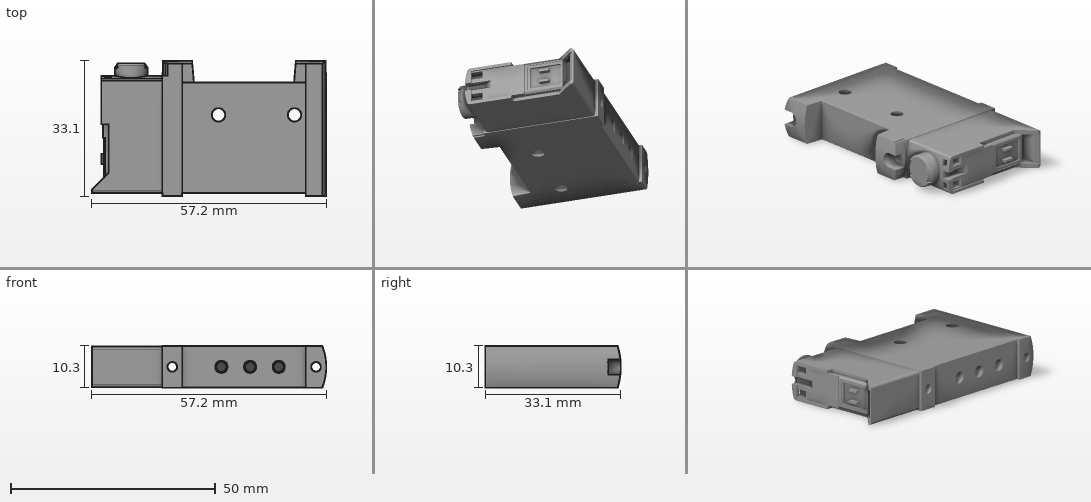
import cadquery as cq


LENGTH = 40.01
PLATE_HEIGHT = 10.25
LEFT_PLATE_WIDTH = 4.85
RIGHT_PLATE_WIDTH = 5.04
PLATE_SHOULDER_Y = 32.3
PLATE_REAR_Y = 33.1
PLATE_HOLE_DIA = 2.3
SCREW_SLOT_WIDTH = 3.8
SCREW_SLOT_FLOOR_Y = 30.0
RIGHT_NOSE_DEPTH = 1.0
LEFT_NOSE_DEPTH = 0.8
NOSE_SHELF_X = 1.28
NOSE_HEIGHT = 9.6
TAB_REACH_ROOT = 2.87
TAB_REACH_TIP = 2.42
TAB_HEIGHT = 10.22

BODY_HEIGHT = TAB_HEIGHT
BODY_FRONT_Y = 0.74
BODY_REAR_Y = 27.75
BODY_EDGE_CHAMFER = 0.1
MOUNT_HOLE_DIA = 3.2
MOUNT_HOLE_X = (13.7, 32.24)
MOUNT_HOLE_Y = 19.85
PORT_X = 21.4
PORT_PITCH = 7.0
PORT_DIA = 2.46
PORT_MOUTH_DIA = 3.0
PORT_DEPTH = 5.0

CAP_HEIGHT = 9.95
CAP_FRONT_RADIUS = 0.72
CAP_TIP_X = -17.2
CAP_TIP_SIDE_Y = 1.6
CAP_LEFT_X = -14.92
CAP_NOTCH_X = -13.05
CAP_NOTCH_REAR_Y = 17.5
CAP_NOTCH_FRONT_Y = CAP_TIP_SIDE_Y + CAP_NOTCH_X - CAP_TIP_X
CAP_REAR_Y = 29.4
CAP_REAR_SHOULDER_Y = 28.7
CAP_REAR_CHAMFER_Y = 28.15
CAP_REAR_CHAMFER_Z = 0.35

MOUTH_HEIGHT = 8.44
MOUTH_REAR_Y = 27.8
INSERT_X = -14.53
INSERT_HEIGHT = 8.14
LATCH_SLOT_HEIGHT = 2.0
LATCH_SLOT_X = -12.95
LATCH_SLOT_FRONT_Y = 22.75
LATCH_SLOT_FLOOR_Y = 24.65
WINDOW_FRONT_Y = 24.9
WINDOW_HEIGHT = 1.85
WINDOW_OFFSET_Z = 2.975
WINDOW_FLOOR_X = -12.5
WINDOW_REAR_LIP_X = -14.0

SOCKET_X = -14.33
SOCKET_FRONT_Y = 4.45
SOCKET_REAR_Y = 14.3
SOCKET_BEVEL_X = -13.95
SOCKET_FACE_HEIGHT = 7.26
RIM_REAR_Y = 13.45
RIM_HEIGHT = 7.0
RIM_STEP = 0.12
CAVITY_FRONT_Y = 5.0
CAVITY_REAR_Y = 12.9
CAVITY_HEIGHT = 5.6
CAVITY_DEPTH = 0.6
SOCKET_CORNER_SIZE = 0.4
PIN_FRONT_Y = 7.85
PIN_LENGTH = 2.55
PIN_THICKNESS = 0.6
PIN_OFFSET_Z = 1.45

LIP_RECESS_HEIGHT = 7.7
LIP_EDGE_Y = 1.1
LIP_ROOT_Y = 1.98
LIP_FLOOR_REAR_Y = 4.1
LIP_FLOOR_DEPTH = 0.5

BUTTON_DIA = 8.1
BUTTON_X = -7.6
BUTTON_TOP_Y = 32.45
BUTTON_EDGE_RADIUS = 0.5
BUTTON_BAND_WIDTH = 4.1
BUTTON_BAND_DROP = 1.2
BUTTON_BAND_INSET = 0.8


def box(x_range, y_range, height, z_middle=0.0):
    """Box between two X and two Y limits, centred on z_middle."""
    width = x_range[1] - x_range[0]
    depth = y_range[1] - y_range[0]
    middle = ((x_range[0] + x_range[1]) / 2, (y_range[0] + y_range[1]) / 2, z_middle)
    return cq.Workplane("XY").box(width, depth, height).translate(middle)


def prism(points, height):
    """XY outline extruded symmetrically about the mid-plane."""
    return cq.Workplane("XY").polyline(points).close().extrude(height / 2, both=True)


def y_cylinder(x, diameter, y_start, y_end):
    """Cylinder along +Y at mid-height."""
    plane = cq.Workplane("XZ", origin=(x, y_start, 0))
    return plane.circle(diameter / 2).extrude(y_start - y_end)


def y_cone(x, start_diameter, end_diameter, y_start, y_end):
    """Cone frustum along +Y at mid-height."""
    start = cq.Vector(x, y_start, 0)
    along_y = cq.Vector(0, 1, 0)
    frustum = cq.Solid.makeCone(start_diameter / 2, end_diameter / 2, y_end - y_start, start, along_y)
    return cq.Workplane(frustum)


def crowned_profile(x_range):
    """Bar along X with the plate cross-section: flat front, arched rear."""
    half = PLATE_HEIGHT / 2
    return (
        cq.Workplane("YZ", origin=(x_range[0], 0, 0))
        .moveTo(0, -half)
        .lineTo(PLATE_SHOULDER_Y, -half)
        .threePointArc((PLATE_REAR_Y, 0), (PLATE_SHOULDER_Y, half))
        .lineTo(0, half)
        .close()
        .extrude(x_range[1] - x_range[0])
    )


def end_plate(outer_x, width, inward):
    """Plate plus the drafted rear tab that overlaps the valve body."""
    plate_x = outer_x + inward * width
    root_x = plate_x + inward * TAB_REACH_ROOT
    tip_x = plate_x + inward * TAB_REACH_TIP
    tab = [
        (plate_x, BODY_REAR_Y),
        (root_x, BODY_REAR_Y),
        (tip_x, PLATE_REAR_Y),
        (plate_x, PLATE_REAR_Y),
    ]
    plate = box(sorted((outer_x, plate_x)), (0, PLATE_REAR_Y), PLATE_HEIGHT)
    plate = plate.union(prism(tab, TAB_HEIGHT))
    return plate.intersect(crowned_profile(sorted((outer_x, root_x))))


def screw_cut(outer_x, hole_x):
    """Through hole along Y and the round-ended rear slot that opens at the outer face."""
    hole = y_cylinder(hole_x, PLATE_HOLE_DIA, 0, PLATE_REAR_Y)
    seat_y = (SCREW_SLOT_FLOOR_Y, PLATE_REAR_Y)
    seat = y_cylinder(hole_x, SCREW_SLOT_WIDTH, *seat_y)
    opening = box(sorted((outer_x, hole_x)), seat_y, SCREW_SLOT_WIDTH)
    return hole.union(seat).union(opening)


def arched_end(tip_x, shoulder_x, back_x, height, y_range):
    """Bar along Y whose end is an arc in the XZ plane."""
    half = height / 2
    return (
        cq.Workplane("XZ", origin=(0, y_range[0], 0))
        .moveTo(back_x, -half)
        .lineTo(shoulder_x, -half)
        .threePointArc((tip_x, 0), (shoulder_x, half))
        .lineTo(back_x, half)
        .close()
        .extrude(y_range[0] - y_range[1])
    )


def left_plate():
    """Plate beside the cap; behind the cap its outer face narrows to an arched nose."""
    plate = end_plate(0, LEFT_PLATE_WIDTH, 1)
    rear = (CAP_REAR_Y, PLATE_REAR_Y)
    removed = box((0, NOSE_SHELF_X), rear, PLATE_HEIGHT)
    nose = arched_end(0, LEFT_NOSE_DEPTH, NOSE_SHELF_X, NOSE_HEIGHT, rear)
    plate = plate.cut(removed.cut(nose))
    return plate.cut(screw_cut(0, LEFT_PLATE_WIDTH / 2))


def right_plate():
    """Plate whose whole outer face is arched."""
    inner_x = LENGTH - RIGHT_PLATE_WIDTH
    envelope = arched_end(
        LENGTH,
        LENGTH - RIGHT_NOSE_DEPTH,
        inner_x - TAB_REACH_ROOT,
        PLATE_HEIGHT,
        (0, PLATE_REAR_Y),
    )
    plate = end_plate(LENGTH, RIGHT_PLATE_WIDTH, -1).intersect(envelope)
    return plate.cut(screw_cut(LENGTH, inner_x + RIGHT_PLATE_WIDTH / 2))


def valve_body():
    """Central block with two mounting holes along Z and three ports in its front face."""
    body = box(
        (LEFT_PLATE_WIDTH, LENGTH - RIGHT_PLATE_WIDTH),
        (BODY_FRONT_Y, BODY_REAR_Y),
        BODY_HEIGHT,
    )
    body = body.edges("|X").chamfer(BODY_EDGE_CHAMFER)
    for x in MOUNT_HOLE_X:
        hole = cq.Workplane("XY").center(x, MOUNT_HOLE_Y).circle(MOUNT_HOLE_DIA / 2)
        body = body.cut(hole.extrude(BODY_HEIGHT, both=True))
    mouth_depth = (PORT_MOUTH_DIA - PORT_DIA) / 2
    for step in (-1, 0, 1):
        x = PORT_X + step * PORT_PITCH
        bore = y_cylinder(x, PORT_DIA, BODY_FRONT_Y, BODY_FRONT_Y + PORT_DEPTH)
        mouth = y_cone(x, PORT_MOUTH_DIA, PORT_DIA, BODY_FRONT_Y, BODY_FRONT_Y + mouth_depth)
        body = body.cut(bore).cut(mouth)
    return body


def cap_shell():
    """Cap outline with the side notches and the pointed front lip."""
    outline = [
        (0, BODY_FRONT_Y),
        (CAP_TIP_X, BODY_FRONT_Y),
        (CAP_TIP_X, CAP_TIP_SIDE_Y),
        (CAP_NOTCH_X, CAP_NOTCH_FRONT_Y),
        (CAP_NOTCH_X, CAP_NOTCH_REAR_Y),
        (CAP_LEFT_X, CAP_NOTCH_REAR_Y),
        (CAP_LEFT_X, CAP_REAR_Y),
        (0, CAP_REAR_Y),
    ]
    half = CAP_HEIGHT / 2
    shoulder_z = half - CAP_REAR_CHAMFER_Z
    profile = (
        cq.Workplane("YZ", origin=(CAP_TIP_X, 0, 0))
        .moveTo(BODY_FRONT_Y, -half)
        .lineTo(CAP_REAR_CHAMFER_Y, -half)
        .lineTo(CAP_REAR_SHOULDER_Y, -shoulder_z)
        .threePointArc((CAP_REAR_Y, 0), (CAP_REAR_SHOULDER_Y, shoulder_z))
        .lineTo(CAP_REAR_CHAMFER_Y, half)
        .lineTo(BODY_FRONT_Y, half)
        .close()
        .extrude(-CAP_TIP_X)
    )
    profile = profile.edges("|X and <Y").fillet(CAP_FRONT_RADIUS)
    return profile.intersect(prism(outline, CAP_HEIGHT))


def lip_recess():
    """Space between the connector socket and the sloped inside of the front lip."""
    outline = [
        (CAP_TIP_X, LIP_EDGE_Y),
        (CAP_TIP_X + LIP_ROOT_Y - LIP_EDGE_Y, LIP_ROOT_Y),
        (CAP_NOTCH_X, LIP_ROOT_Y),
        (CAP_NOTCH_X, SOCKET_FRONT_Y),
        (CAP_TIP_X, SOCKET_FRONT_Y),
    ]
    floor = box(
        (CAP_NOTCH_X, CAP_NOTCH_X + LIP_FLOOR_DEPTH),
        (LIP_ROOT_Y, LIP_FLOOR_REAR_Y),
        LIP_RECESS_HEIGHT,
    )
    return prism(outline, LIP_RECESS_HEIGHT).union(floor)


def insert():
    wide = box((INSERT_X, CAP_NOTCH_X), (CAP_NOTCH_REAR_Y, MOUTH_REAR_Y), MOUTH_HEIGHT)
    narrow = box((INSERT_X, CAP_NOTCH_X), (SOCKET_REAR_Y, CAP_NOTCH_REAR_Y), INSERT_HEIGHT)
    return wide.union(narrow)


def socket():
    """Bevelled block with a stepped rim, a shallow cavity and two flat contact pins."""
    half = INSERT_HEIGHT / 2
    face_half = SOCKET_FACE_HEIGHT / 2
    section = [
        (CAP_NOTCH_X, -half),
        (SOCKET_BEVEL_X, -half),
        (SOCKET_X, -face_half),
        (SOCKET_X, face_half),
        (SOCKET_BEVEL_X, half),
        (CAP_NOTCH_X, half),
    ]
    block = (
        cq.Workplane("XZ", origin=(0, SOCKET_FRONT_Y, 0))
        .polyline(section)
        .close()
        .extrude(SOCKET_FRONT_Y - SOCKET_REAR_Y)
    )
    rim = box((SOCKET_X, SOCKET_X + RIM_STEP), (SOCKET_FRONT_Y, RIM_REAR_Y), RIM_HEIGHT)
    rim = rim.edges("|X and >Y").chamfer(SOCKET_CORNER_SIZE)
    block = block.cut(rim)
    cavity = box(
        (SOCKET_X, SOCKET_X + CAVITY_DEPTH),
        (CAVITY_FRONT_Y, CAVITY_REAR_Y),
        CAVITY_HEIGHT,
    )
    block = block.cut(cavity.edges("|X").fillet(SOCKET_CORNER_SIZE))
    for side in (-1, 1):
        pin = box(
            (CAP_LEFT_X, CAP_NOTCH_X),
            (PIN_FRONT_Y, PIN_FRONT_Y + PIN_LENGTH),
            PIN_THICKNESS,
            side * PIN_OFFSET_Z,
        )
        block = block.union(pin)
    return block


def latch_cuts():
    """Central slot with a sloped front end, and the two snap windows beside it."""
    slot = [
        (CAP_LEFT_X, LATCH_SLOT_FRONT_Y),
        (INSERT_X, LATCH_SLOT_FRONT_Y),
        (LATCH_SLOT_X, LATCH_SLOT_FLOOR_Y),
        (LATCH_SLOT_X, CAP_REAR_Y),
        (CAP_LEFT_X, CAP_REAR_Y),
    ]
    cuts = prism(slot, LATCH_SLOT_HEIGHT)
    for side in (-1, 1):
        z = side * WINDOW_OFFSET_Z
        window = box((CAP_LEFT_X, WINDOW_FLOOR_X), (WINDOW_FRONT_Y, MOUTH_REAR_Y), WINDOW_HEIGHT, z)
        rear = box((WINDOW_REAR_LIP_X, WINDOW_FLOOR_X), (MOUTH_REAR_Y, CAP_REAR_Y), WINDOW_HEIGHT, z)
        cuts = cuts.union(window).union(rear)
    return cuts


def button():
    """Rounded knob with a conical relief on its rim over a central band along X."""
    knob = y_cylinder(BUTTON_X, BUTTON_DIA, CAP_REAR_CHAMFER_Y, BUTTON_TOP_Y)
    knob = knob.faces(">Y").edges().fillet(BUTTON_EDGE_RADIUS)
    reach = BUTTON_DIA / 2
    band_y = (BUTTON_TOP_Y - BUTTON_BAND_DROP, BUTTON_TOP_Y)
    band = box((BUTTON_X - reach, BUTTON_X + reach), band_y, BUTTON_BAND_WIDTH)
    cone = y_cone(BUTTON_X, BUTTON_DIA, BUTTON_DIA - 2 * BUTTON_BAND_INSET, *band_y)
    return knob.cut(band.cut(cone))


def electrical_cap():
    mouth = box((CAP_TIP_X, CAP_NOTCH_X), (CAP_NOTCH_REAR_Y, MOUTH_REAR_Y), MOUTH_HEIGHT)
    cap = cap_shell().cut(mouth).cut(lip_recess())
    cap = cap.union(insert()).union(socket())
    return cap.cut(latch_cuts()).union(button())


result = valve_body().union(left_plate()).union(right_plate()).union(electrical_cap())